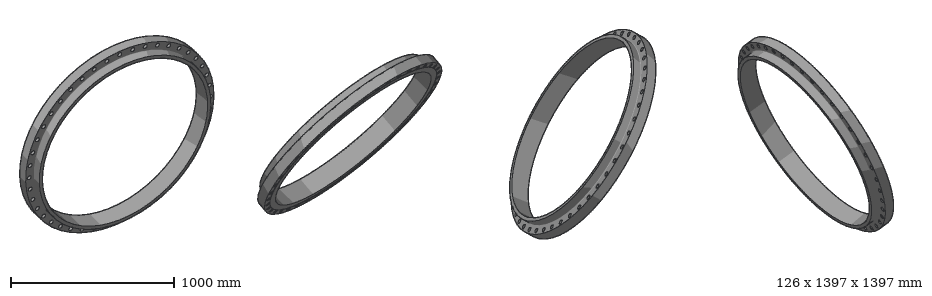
import cadquery as cq
import math

outer_diameter = 1397.0
total_length = 126.0
bore_diameter = 1225.0

flange_thickness = 68.0
hub_diameter = 1273.0
hub_root_fillet = 4.0

raised_face_diameter = 1315.0
raised_face_height = 1.0

bolt_count = 44
bolt_circle_diameter = 1344.0
bolt_hole_diameter = 28.0

front_x = -total_length / 2
flange_front_x = front_x + raised_face_height
flange_back_x = front_x + flange_thickness
hub_end_x = total_length / 2

outer_radius = outer_diameter / 2
bore_radius = bore_diameter / 2
hub_radius = hub_diameter / 2
raised_face_radius = raised_face_diameter / 2

fillet_sagitta = hub_root_fillet * (1 - math.sqrt(0.5))
fillet_mid_point = (flange_back_x + fillet_sagitta, hub_radius + fillet_sagitta)


def make_ring():
    """Revolve the half section (X, Z) about the X axis."""
    half_section = (
        cq.Workplane("XZ")
        .moveTo(front_x, bore_radius)
        .lineTo(front_x, raised_face_radius)
        .lineTo(flange_front_x, raised_face_radius)
        .lineTo(flange_front_x, outer_radius)
        .lineTo(flange_back_x, outer_radius)
        .lineTo(flange_back_x, hub_radius + hub_root_fillet)
        .threePointArc(fillet_mid_point, (flange_back_x + hub_root_fillet, hub_radius))
        .lineTo(hub_end_x, hub_radius)
        .lineTo(hub_end_x, bore_radius)
        .close()
    )
    return half_section.revolve(360, (0, 0, 0), (1, 0, 0))


def make_bolt_holes():
    """Cylinders through the flange; the first one is centred on the Y axis."""
    return (
        cq.Workplane("YZ", origin=(front_x, 0, 0))
        .polarArray(bolt_circle_diameter / 2, 0, 360, bolt_count)
        .circle(bolt_hole_diameter / 2)
        .extrude(flange_thickness)
    )


result = make_ring().cut(make_bolt_holes())